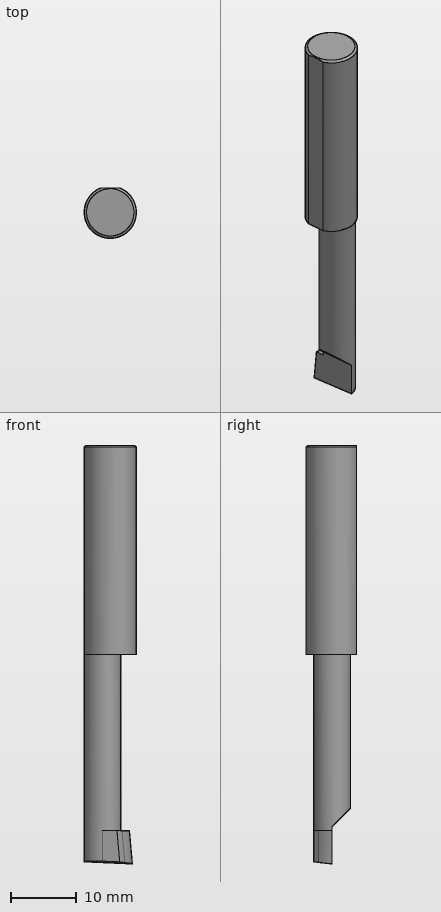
import cadquery as cq
import math

total_length = 63.5
shank_diameter = 7.95
shank_width_y = 7.7
shank_length = 31.75
chamfer_radial = 0.4
chamfer_height = 0.25

neck_diameter = 5.6

relief_height = 5.65
relief_angle = 45.0

head_height = 5.1
head_lean = 0.45
tip_x = 3.35
heel_x = 1.45
facet_run = 0.75
end_clearance_x = 2.5
end_clearance_y = 5.0

shank_radius = shank_diameter / 2
neck_radius = neck_diameter / 2
neck_x = neck_radius - shank_radius
shoulder_z = total_length - shank_length
margin = 6.35


def make_shank():
    shank = cq.Workplane("XY").workplane(offset=shoulder_z).circle(shank_radius).extrude(shank_length)
    shank = shank.faces(">Z").edges().chamfer(chamfer_height, chamfer_radial)
    flat_y = shank_width_y - shank_radius
    flat_cut = cq.Workplane("XY").box(
        2 * shank_diameter, margin, 2 * total_length, centered=(True, False, True)
    ).translate((0, flat_y, total_length))
    return shank.cut(flat_cut)


def make_neck():
    return cq.Workplane("XY").center(neck_x, 0).circle(neck_radius).extrude(shoulder_z)


def make_relief():
    reach = neck_radius + margin
    rise = reach * math.tan(math.radians(relief_angle))
    return (
        cq.Workplane("YZ")
        .polyline([(0, -margin), (reach, -margin), (reach, relief_height + rise), (0, relief_height)])
        .close()
        .extrude(margin + shank_diameter, both=True)
    )


def head_section(z, shift):
    """Cross-section of the head: flat back, 45 degree facet, tangent round flank."""
    facet_start = (heel_x + shift, -neck_radius)
    facet_end = (facet_start[0] + facet_run, facet_run - neck_radius)
    return (
        cq.Workplane("XY")
        .workplane(offset=z)
        .moveTo(neck_x, 0)
        .lineTo(neck_x, -neck_radius)
        .lineTo(*facet_start)
        .lineTo(*facet_end)
        .tangentArcPoint((tip_x + shift, 0), relative=False)
        .close()
        .wire()
        .val()
    )


def make_head():
    bottom = head_section(0, 0)
    top = head_section(head_height, -head_lean)
    return cq.Workplane(cq.Solid.makeLoft([bottom, top], True))


def make_end_clearance():
    """Block below the end face, which rises from the tip towards -X and -Y."""
    slope_x = math.tan(math.radians(end_clearance_x))
    slope_y = math.tan(math.radians(end_clearance_y))
    end_plane = cq.Plane(origin=(tip_x, 0, 0), xDir=(1, 0, -slope_x), normal=(slope_x, slope_y, 1))
    side = 4 * shank_diameter
    return cq.Workplane(end_plane).rect(side, side).extrude(-margin)


lower_end = make_neck().cut(make_relief()).union(make_head()).cut(make_end_clearance())
result = make_shank().union(lower_end)